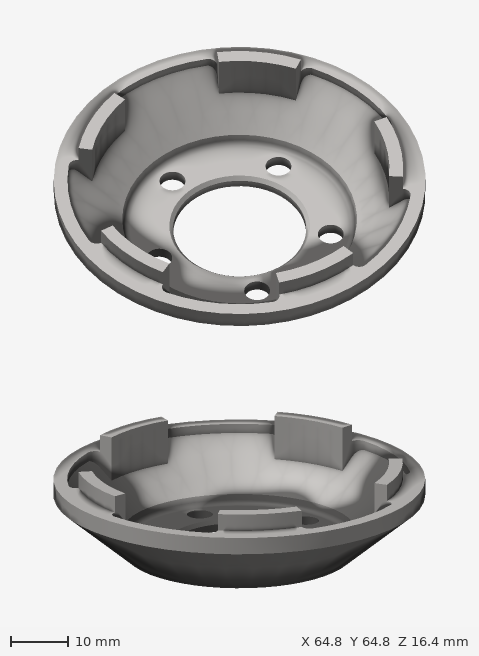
import cadquery as cq
import math

rim_height = 3.0
tab_rise = 3.0
total_height = 16.41
rim_top = total_height - tab_rise
rim_bottom = rim_top - rim_height
cutter_top = total_height + 1.0

rim_radius = 32.4
base_radius = 20.0
floor_thickness = 2.0
floor_radius = 19.2
floor_fillet = 1.0
step_wall_angle = 74.0
inner_cone_start_radius = 20.45
cone_slope = rim_bottom / (rim_radius - base_radius)

bore_radius = 23.2 / 2
bore_chamfer = 0.65

bolt_count = 5
bolt_hole_diameter = 4.5
bolt_circle_radius = 16.0
first_bolt_angle = 90.0

tab_count = 5
tab_inner_radius = 26.1
tab_outer_radius = 28.5
tab_blank_radius = tab_inner_radius - 1.0
tab_angle = 30.0
first_tab_angle = 180.0

recess_radius = 30.0
recess_corner_radius = 1.5
pitch_angle = 360.0 / tab_count
recess_angle = pitch_angle - tab_angle


def polar(radius, angle):
    """Point at a radius and an angle in degrees."""
    return (radius * math.cos(math.radians(angle)), radius * math.sin(math.radians(angle)))


def floor_fillet_point(angle):
    """Point on the floor fillet where its slope has risen to an angle in degrees."""
    radius = floor_radius + floor_fillet * math.sin(math.radians(angle))
    height = floor_thickness + floor_fillet * (1 - math.cos(math.radians(angle)))
    return (radius, height)


step_wall_start_radius, step_wall_start_height = floor_fillet_point(step_wall_angle)
step_wall_run = inner_cone_start_radius - step_wall_start_radius
inner_cone_start_height = step_wall_start_height + step_wall_run * math.tan(math.radians(step_wall_angle))


def inner_cone_height(radius):
    """Height of the inside cone, which runs parallel to the outside one."""
    return inner_cone_start_height + cone_slope * (radius - inner_cone_start_radius)


def ring_sector(inner_radius, outer_radius, middle_angle, span, bottom, top):
    """Block bounded by two concentric arcs and two radial sides."""
    return (
        cq.Workplane("XZ")
        .moveTo(inner_radius, bottom)
        .lineTo(outer_radius, bottom)
        .lineTo(outer_radius, top)
        .lineTo(inner_radius, top)
        .close()
        .revolve(span, (0, 0, 0), (0, 1, 0))
        .rotate((0, 0, 0), (0, 0, 1), middle_angle - span / 2)
    )


def revolve_profile(profile):
    """Full turn about Z of a closed profile whose points are (radius, height)."""
    return profile.close().revolve(360, (0, 0, 0), (0, 1, 0))


def make_blank():
    """Cone and rim with the bore, solid above the chamfer of the bore."""
    chamfer_radius = bore_radius + bore_chamfer
    return revolve_profile(
        cq.Workplane("XZ")
        .moveTo(bore_radius, 0)
        .lineTo(base_radius, 0)
        .lineTo(rim_radius, rim_bottom)
        .lineTo(rim_radius, rim_top)
        .lineTo(chamfer_radius, rim_top)
        .lineTo(chamfer_radius, floor_thickness)
        .lineTo(bore_radius, floor_thickness - bore_chamfer)
    )


def make_tab(middle_angle):
    """Tab block above the rim, reaching inward past the mouth that trims it."""
    return ring_sector(tab_blank_radius, tab_outer_radius, middle_angle, tab_angle, rim_top, total_height)


def make_cavity():
    """Inside of the dish: flat floor, filleted step wall, then a cone that runs out past the recesses."""
    return revolve_profile(
        cq.Workplane("XZ")
        .moveTo(0, floor_thickness)
        .lineTo(floor_radius, floor_thickness)
        .threePointArc(floor_fillet_point(step_wall_angle / 2), floor_fillet_point(step_wall_angle))
        .lineTo(inner_cone_start_radius, inner_cone_start_height)
        .lineTo(rim_radius, inner_cone_height(rim_radius))
        .lineTo(rim_radius, cutter_top)
        .lineTo(0, cutter_top)
    )


def make_recess(middle_angle):
    """Upright prism of one recess, with its two outer corners rounded."""
    recess = ring_sector(tab_blank_radius, recess_radius, middle_angle, recess_angle, 0, cutter_top)
    outward = cq.Vector(*polar(1, middle_angle))
    corners = recess.edges("|Z").edges(cq.selectors.CenterNthSelector(outward, -1))
    return corners.fillet(recess_corner_radius)


def make_mouth():
    """Upright prism of the dish mouth: a round opening widened by the recesses between the tabs."""
    mouth = cq.Workplane("XY").circle(tab_inner_radius).extrude(cutter_top)
    for index in range(tab_count):
        mouth = mouth.union(make_recess(first_tab_angle + (index + 0.5) * pitch_angle))
    return mouth


def make_bolt_holes():
    """Through holes in the floor, evenly spaced on the bolt circle."""
    return (
        cq.Workplane("XY")
        .polarArray(bolt_circle_radius, first_bolt_angle, 360, bolt_count)
        .circle(bolt_hole_diameter / 2)
        .extrude(floor_thickness)
    )


blank = make_blank()
for tab_index in range(tab_count):
    blank = blank.union(make_tab(first_tab_angle + tab_index * pitch_angle))

hollow = make_cavity().intersect(make_mouth())
result = blank.cut(hollow).cut(make_bolt_holes())